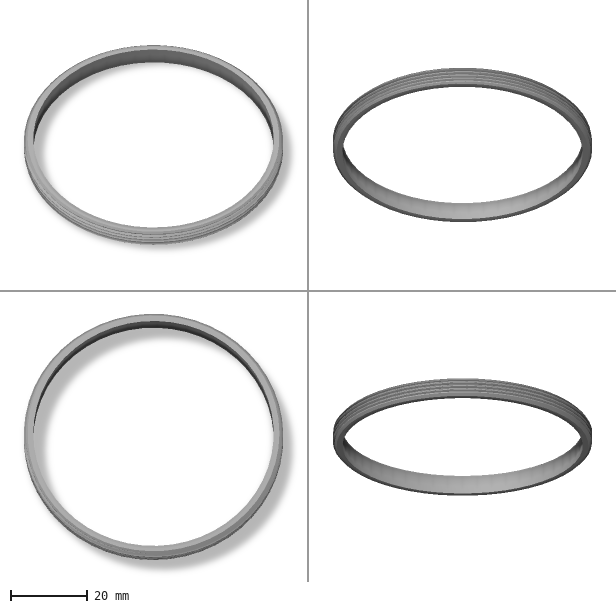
import cadquery as cq
import math

outer_diameter = 68.0
bore_diameter = 63.0
height = 5.0
chamfer = 1.0

pitch = 1.0
flank_slope = math.tan(math.radians(30))
sharp_depth = pitch / (2 * flank_slope)
thread_depth = 5 / 8 * sharp_depth
root_width = pitch / 4
cutter_overshoot = 0.05

outer_radius = outer_diameter / 2
root_radius = outer_radius - thread_depth

groove_start_z = -pitch / 2
groove_turns = round(height / pitch) + 1


def make_ring():
    """Plain ring with both outer edges chamfered."""
    disc = cq.Workplane("XY").circle(outer_radius).extrude(height)
    disc = disc.faces("<Z or >Z").edges().chamfer(chamfer)
    return disc.faces(">Z").workplane().hole(bore_diameter)


def make_groove_turn(start_z):
    """One full turn of the thread groove cutter, starting on the +X side at start_z."""
    cutter_radius = outer_radius + cutter_overshoot
    half_root = root_width / 2
    half_mouth = half_root + (cutter_radius - root_radius) * flank_slope
    helix = cq.Wire.makeHelix(pitch, pitch, outer_radius, center=cq.Vector(0, 0, start_z))
    profile = cq.Workplane("XZ").polyline([
        (root_radius, start_z - half_root),
        (cutter_radius, start_z - half_mouth),
        (cutter_radius, start_z + half_mouth),
        (root_radius, start_z + half_root),
    ]).close()
    return profile.sweep(cq.Workplane(helix), isFrenet=True)


def cut_thread(ring):
    """Cut the groove turn by turn; single turns give a reliable cut."""
    for turn in range(groove_turns):
        ring = ring.cut(make_groove_turn(groove_start_z + turn * pitch))
    return ring


result = cut_thread(make_ring())